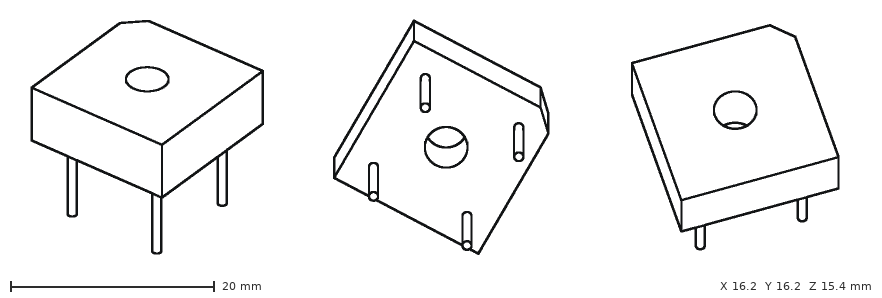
import cadquery as cq

body_side = 16.2
body_height = 6.3
corner_chamfer = 2.0
hole_diameter = 4.2

overall_height = 15.4
pin_diameter = 0.9
pin_spacing = 10.5
pin_length = overall_height - body_height


def make_body():
    """Square block with one chamfered corner and a central through hole."""
    block = cq.Workplane("XY").rect(body_side, body_side).extrude(body_height)
    block = block.edges("|Z and <X and >Y").chamfer(corner_chamfer)
    return block.faces(">Z").workplane(origin=(0, 0, body_height)).hole(hole_diameter)


def make_pins():
    """Four round pins in a square pattern, pointing down from the underside."""
    return (
        cq.Workplane("XY")
        .rect(pin_spacing, pin_spacing, forConstruction=True)
        .vertices()
        .circle(pin_diameter / 2)
        .extrude(-pin_length)
    )


result = make_body().union(make_pins())